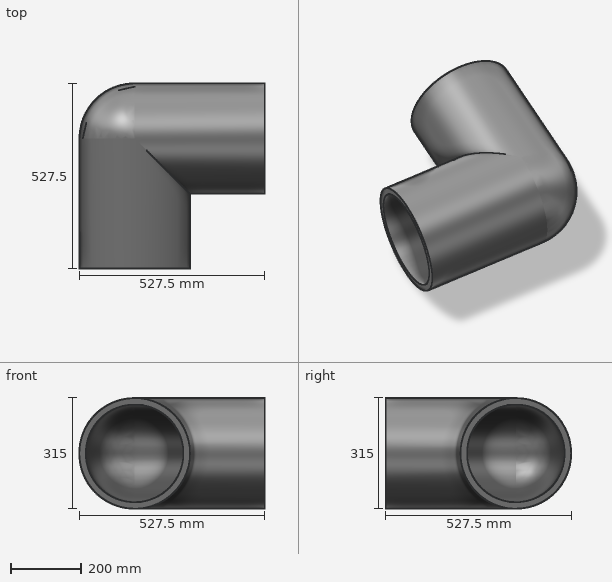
import cadquery as cq

outer_diameter = 315.0
wall_thickness = 18.7
leg_length = 370.0

outer_radius = outer_diameter / 2
inner_radius = outer_radius - wall_thickness


def elbow_solid(radius):
    """Two round legs along +X and -Y, joined by a ball at the corner on the origin."""
    ball = cq.Workplane("XY").sphere(radius)
    leg_x = cq.Workplane("YZ").circle(radius).extrude(leg_length)
    leg_y = cq.Workplane("XZ").circle(radius).extrude(leg_length)
    return leg_x.union(leg_y).union(ball)


result = elbow_solid(outer_radius).cut(elbow_solid(inner_radius))